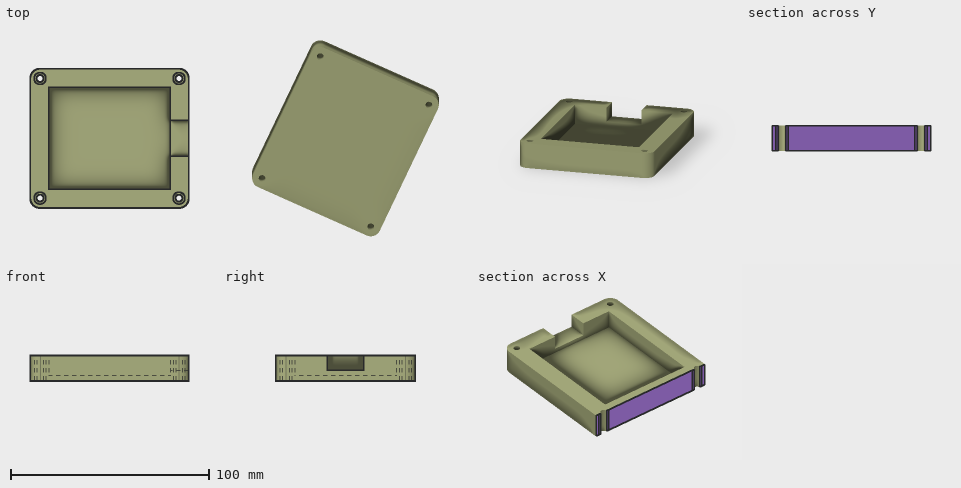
import cadquery as cq

length = 80.0
width = 70.3
height = 13.0
corner_radius = 5.0

wall = 9.5
floor = 3.0
pocket_length = length - 2 * wall
pocket_width = width - 2 * wall
pocket_depth = height - floor

notch_width = 18.3
notch_depth = 7.5

sleeve_diameter = 6.0
bore_diameter = 3.4
sleeve_x = length / 2 - corner_radius
sleeve_y = width / 2 - corner_radius
sleeve_centres = [(sx * sleeve_x, sy * sleeve_y) for sx in (-1, 1) for sy in (-1, 1)]


def make_housing():
    """Rounded tray with a pocket, a side notch and four sleeve holes."""
    block = (
        cq.Workplane("XY")
        .box(length, width, height, centered=(True, True, False))
        .edges("|Z")
        .fillet(corner_radius)
    )
    pocket = (
        cq.Workplane("XY", origin=(0, 0, floor))
        .box(pocket_length, pocket_width, pocket_depth, centered=(True, True, False))
    )
    notch = (
        cq.Workplane("XY", origin=(pocket_length / 2, 0, height - notch_depth))
        .box(wall, notch_width, notch_depth, centered=(False, True, False))
    )
    sleeve_holes = (
        cq.Workplane("XY")
        .pushPoints(sleeve_centres)
        .circle(sleeve_diameter / 2)
        .extrude(height)
    )
    return block.cut(pocket).cut(notch).cut(sleeve_holes)


def make_sleeve(x, y):
    """Plain tube filling one corner hole over the full housing height."""
    return (
        cq.Workplane("XY", origin=(x, y, 0))
        .circle(sleeve_diameter / 2)
        .circle(bore_diameter / 2)
        .extrude(height)
    )


housing = make_housing()
sleeves = [make_sleeve(x, y) for x, y in sleeve_centres]

result = cq.Compound.makeCompound([housing.solids().val(), *[sleeve.val() for sleeve in sleeves]])